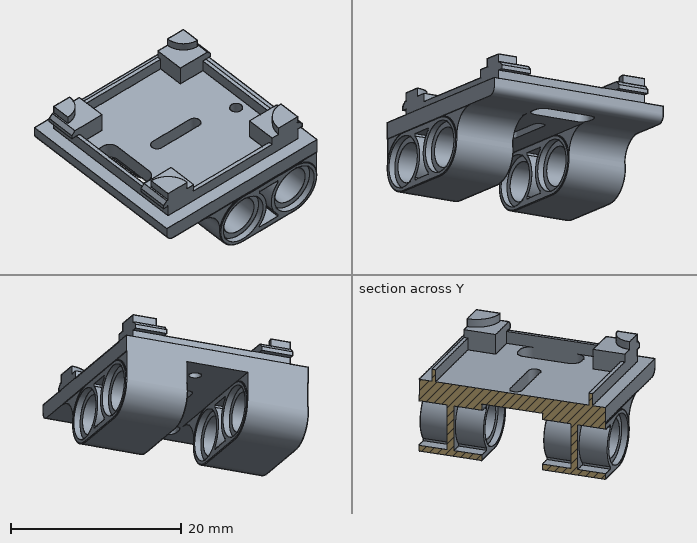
import cadquery as cq
import math

beam_span = 23.6
plate_side = 23.5
plate_thickness = 2.0
front_edge_radius = 1.0

frame_side = 20.3
frame_wall = 0.5
frame_height = 1.5

post_side = 4.01
post_height = 2.5
lip_reach = 0.7
lip_chamfer = 0.5
stud_height = 3.5
left_stud_radius = 2.5
right_stud_radius = 3.0

round_hole_diameter = 1.5
round_hole_x = 1.3
round_hole_y = 8.3
slot_width = 1.5
slot_length = 7.35
window_length = 8.0
window_width = 3.0
window_corner_radius = 1.18

beam_width = 8.0
beam_height = 7.2
beam_edge_chamfer = 0.1
hole_pitch = 8.0
bore_diameter = 4.8
counterbore_diameter = 6.2
counterbore_depth = 0.8
web_radius = 3.0
web_inset = 0.12

pocket_width = 2.83
pocket_height = 5.62
pocket_depth = 3.55
bore_wall_radius = 3.6

beam_radius = beam_height / 2
beam_length = hole_pitch + beam_height
rear_y = plate_side / 2
rear_bore_y = rear_y - beam_radius
front_bore_y = rear_bore_y - hole_pitch
beam_center_y = (rear_bore_y + front_bore_y) / 2
beam_front_y = rear_y - beam_length
plate_bottom_z = -plate_thickness
bore_z = plate_bottom_z - beam_radius
frame_half = frame_side / 2


def base_plate():
    plate = cq.Workplane("XY").rect(plate_side, plate_side).extrude(-plate_thickness)
    return plate.edges("<Y and <Z").fillet(front_edge_radius)


def frame():
    inner_side = frame_side - 2 * frame_wall
    outline = cq.Workplane("XY").rect(frame_side, frame_side).rect(inner_side, inner_side)
    return outline.extrude(frame_height)


def corner_post(x_sign, y_sign, stud_radius):
    outer_x = x_sign * frame_half
    outer_y = y_sign * frame_half
    inner_x = outer_x - x_sign * post_side
    lip_y = outer_y + y_sign * lip_reach
    profile = (
        cq.Workplane("YZ", origin=(min(outer_x, inner_x), 0, 0))
        .moveTo(outer_y - y_sign * post_side, 0)
        .lineTo(outer_y, 0)
        .lineTo(outer_y, frame_height)
        .lineTo(lip_y, frame_height)
        .lineTo(lip_y, post_height - lip_chamfer)
        .lineTo(lip_y - y_sign * lip_chamfer, post_height)
        .lineTo(outer_y - y_sign * post_side, post_height)
        .close()
    )
    post = profile.extrude(post_side)
    diagonal = stud_radius * math.sqrt(0.5)
    stud = (
        cq.Workplane("XY")
        .moveTo(outer_x, outer_y)
        .lineTo(outer_x - x_sign * stud_radius, outer_y)
        .threePointArc(
            (outer_x - x_sign * diagonal, outer_y - y_sign * diagonal),
            (outer_x, outer_y - y_sign * stud_radius),
        )
        .close()
        .extrude(stud_height)
    )
    return post.union(stud)


def plate_openings():
    inner_front_y = frame_wall - frame_half
    round_hole = (
        cq.Workplane("XY").center(round_hole_x, round_hole_y).circle(round_hole_diameter / 2)
        .extrude(-plate_thickness)
    )
    slot = cq.Workplane("XY").slot2D(slot_length, slot_width, 90).extrude(-plate_thickness)
    window = (
        cq.Workplane("XY")
        .center(0, inner_front_y + window_width / 2)
        .rect(window_length, window_width)
        .extrude(-plate_thickness)
        .edges("|Z")
        .fillet(window_corner_radius)
    )
    return round_hole.union(slot).union(window)


def beam_web(start_x, length):
    """Block joining a beam to the plate, set in from the beam ends, with a concave front corner."""
    corner_y = beam_front_y - web_radius
    diagonal = web_radius * math.sqrt(0.5)
    return (
        cq.Workplane("YZ", origin=(start_x, 0, 0))
        .moveTo(rear_y, plate_bottom_z)
        .lineTo(corner_y, plate_bottom_z)
        .threePointArc(
            (corner_y + diagonal, plate_bottom_z - web_radius + diagonal),
            (beam_front_y, plate_bottom_z - web_radius),
        )
        .lineTo(beam_front_y, bore_z)
        .lineTo(rear_y, bore_z)
        .close()
        .extrude(length)
    )


def beam_pocket(start_x, depth):
    """Waisted pocket that leaves a round wall about each bore."""
    pocket = (
        cq.Workplane("YZ", origin=(start_x, beam_center_y, bore_z))
        .rect(pocket_width, pocket_height)
        .extrude(depth)
    )
    walls = (
        cq.Workplane("YZ", origin=(start_x, beam_center_y, bore_z))
        .pushPoints([(-hole_pitch / 2, 0), (hole_pitch / 2, 0)])
        .circle(bore_wall_radius)
        .extrude(depth)
    )
    return pocket.cut(walls)


def beam(x_sign):
    outer_x = x_sign * beam_span / 2
    inner_x = outer_x - x_sign * beam_width
    web_outer_x = outer_x - x_sign * web_inset
    body = (
        cq.Workplane("YZ", origin=(min(outer_x, inner_x), beam_center_y, bore_z))
        .slot2D(beam_length, beam_height)
        .extrude(beam_width)
        .faces("<X or >X")
        .chamfer(beam_edge_chamfer)
    )
    web_inner_x = inner_x + x_sign * web_inset
    web_length = abs(web_outer_x - web_inner_x)
    body = body.union(beam_web(min(web_outer_x, web_inner_x), web_length))

    bore_points = [(front_bore_y, bore_z), (rear_bore_y, bore_z)]
    bores = (
        cq.Workplane("YZ", origin=(min(outer_x, inner_x), 0, 0))
        .pushPoints(bore_points)
        .circle(bore_diameter / 2)
        .extrude(beam_width)
    )
    body = body.cut(bores)
    for face_x, inward in ((outer_x, -x_sign), (inner_x, x_sign)):
        counterbores = (
            cq.Workplane("YZ", origin=(face_x, 0, 0))
            .pushPoints(bore_points)
            .circle(counterbore_diameter / 2)
            .extrude(inward * counterbore_depth)
        )
        body = body.cut(counterbores).cut(beam_pocket(face_x, inward * pocket_depth))
    return body


result = base_plate().union(frame())
for side, radius in ((-1, left_stud_radius), (1, right_stud_radius)):
    result = result.union(beam(side))
    for end in (-1, 1):
        result = result.union(corner_post(side, end, radius))
result = result.cut(plate_openings())